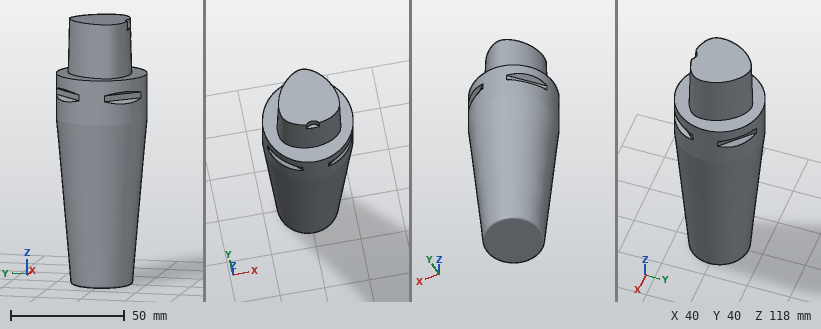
import cadquery as cq
import math

flange_diameter = 40.0
flange_height = 20.0

overall_length = 118.0
nose_diameter = 27.1
nose_fillet = 1.0

shank_length = 24.0
shank_width = 28.0
shank_taper = 1 / 20
lobe_height = 1.0
lobe_count = 3
patch_count = 2 * lobe_count
points_per_patch = 7
first_lobe_angle = 90.0

notch_width = 6.0
notch_depth = 4.0
notch_back_y = -10.8
notch_back_rise = 1.6

groove_count = 4
groove_first_angle = 45.0
groove_level = -8.0
groove_depth = 2.4
groove_floor_width = 2.6
groove_side_angle = 30.0

body_length = overall_length - shank_length
flange_radius = flange_diameter / 2


def make_body():
    """Flange and tapered body with a rounded nose, turned about Z."""
    nose_radius = nose_diameter / 2
    profile = (
        cq.Workplane("XZ")
        .moveTo(0, 0)
        .lineTo(flange_radius, 0)
        .lineTo(flange_radius, -flange_height)
        .lineTo(nose_radius, -body_length)
        .lineTo(0, -body_length)
        .close()
    )
    body = profile.revolve(360, (0, 0, 0), (0, 1, 0))
    return body.faces("<Z").fillet(nose_fillet)


def lobed_point(width, angle, height):
    """Point of the constant-width curve whose outward normal lies at the given angle."""
    phase = lobe_count * (angle - math.radians(first_lobe_angle))
    support = width / 2 + lobe_height * math.cos(phase)
    slope = -lobe_count * lobe_height * math.sin(phase)
    x = support * math.cos(angle) - slope * math.sin(angle)
    y = support * math.sin(angle) + slope * math.cos(angle)
    return cq.Vector(x, y, height)


def lobed_wire(width, height):
    """Closed lobed outline made of alternating lobe and flank curves."""
    patch_angle = 2 * math.pi / patch_count
    first_angle = math.radians(first_lobe_angle) - patch_angle / 2
    edges = []
    for patch in range(patch_count):
        start = first_angle + patch * patch_angle
        end = start + patch_angle
        step = patch_angle / (points_per_patch - 1)
        points = [lobed_point(width, start + i * step, height) for i in range(points_per_patch)]
        tangents = [cq.Vector(-math.sin(a), math.cos(a), 0) for a in (start, end)]
        edges.append(cq.Edge.makeSpline(points, tangents=tangents))
    return cq.Wire.assembleEdges(edges)


def make_shank():
    """Lobed shank that narrows towards its top."""
    top_width = shank_width - shank_taper * shank_length
    base = lobed_wire(shank_width, 0)
    top = lobed_wire(top_width, shank_length)
    return cq.Workplane(obj=cq.Solid.makeLoft([base, top], True))


def make_notch():
    """Round-backed, straight-sided cutter for the notch on the -Y flank of the shank."""
    arc_end_y = notch_back_y - notch_back_rise
    half_width = notch_width / 2
    return (
        cq.Workplane("XY", origin=(0, 0, shank_length - notch_depth))
        .moveTo(-half_width, -flange_radius)
        .lineTo(-half_width, arc_end_y)
        .threePointArc((0, notch_back_y), (half_width, arc_end_y))
        .lineTo(half_width, -flange_radius)
        .close()
        .extrude(notch_depth)
    )


def make_groove(angle):
    """Straight trapezoidal cutter across the flange rim, facing the given angle."""
    floor_distance = flange_radius - groove_depth
    floor_half = groove_floor_width / 2
    mouth_half = floor_half + groove_depth * math.tan(math.radians(groove_side_angle))
    return (
        cq.Workplane("XZ")
        .polyline([
            (floor_distance, groove_level - floor_half),
            (flange_radius, groove_level - mouth_half),
            (flange_radius, groove_level + mouth_half),
            (floor_distance, groove_level + floor_half),
        ])
        .close()
        .extrude(flange_radius, both=True)
        .rotate((0, 0, 0), (0, 0, 1), angle)
    )


result = make_body().union(make_shank()).cut(make_notch())
for index in range(groove_count):
    result = result.cut(make_groove(groove_first_angle + index * 360 / groove_count))